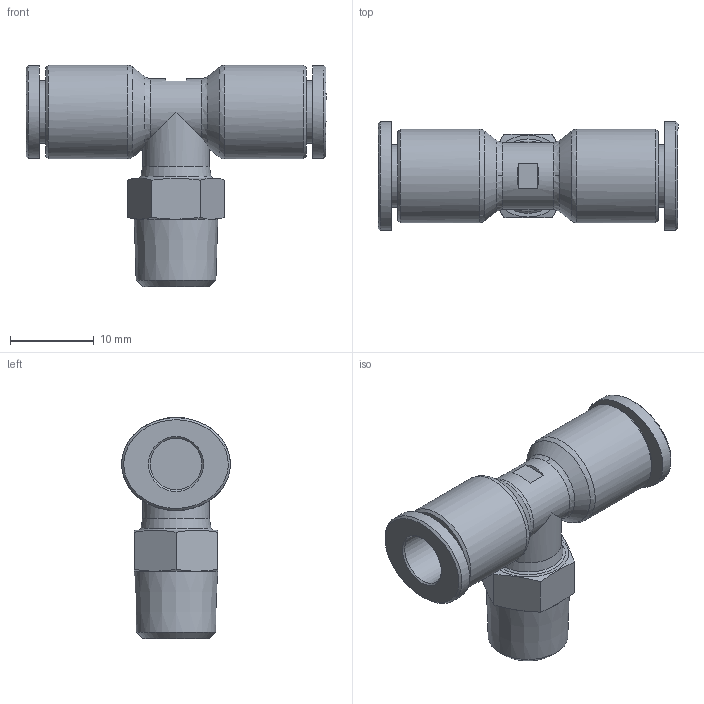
import cadquery as cq
import math


overall_length = 35.9
overall_height = 26.5

sleeve_radius = 5.6
sleeve_end_x = 15.6
sleeve_end_chamfer = 0.3
neck_radius = 4.0
cone_neck_x = 3.44
cone_sleeve_x = 5.43
cone_fillet = 1.0

flange_width = 13.0
flange_height = 11.1
flange_thickness = 1.6
flange_chamfer = 0.25
stem_radius = 3.75
bore_radius = 3.1
bore_depth = 12.0
bore_chamfer = 0.2

pocket_depth = 0.3
pocket_floor_length = 2.3
pocket_mouth_length = 2.5

stub_radius = neck_radius
stub_bottom_z = -6.5
skirt_radius = 4.2
skirt_bottom_z = -7.68
skirt_foot_radius = 4.45
hex_across_flats = 10.0
hex_top_z = -7.9
hex_bottom_z = -12.85
hex_chamfer_radius = 4.9
hex_corner_drop = 0.25
thread_top_radius = 5.0
thread_taper = 1 / 16
thread_tip_radius = 3.95
thread_chamfer_height = 0.8

collar_face_x = overall_length / 2
flange_back_x = collar_face_x - flange_thickness
branch_bottom_z = sleeve_radius - overall_height
thread_chamfer_z = branch_bottom_z + thread_chamfer_height
thread_bottom_radius = thread_top_radius - (hex_bottom_z - thread_chamfer_z) * thread_taper / 2
hex_corner_radius = hex_across_flats / 2 / math.cos(math.pi / 6)


def revolve_about_z(points):
    """Revolve an outline of (radius, z) points about the branch axis."""
    return cq.Workplane("XZ").polyline(points).close().revolve(360, (0, 0), (0, 1))


def make_run():
    """Neck, rounded cones and sleeves as one turned body about X."""
    half_outline = [
        (cone_neck_x, neck_radius),
        (cone_sleeve_x, sleeve_radius),
        (sleeve_end_x - sleeve_end_chamfer, sleeve_radius),
        (sleeve_end_x, sleeve_radius - sleeve_end_chamfer),
        (sleeve_end_x, 0),
    ]
    mirrored = [(-x, r) for x, r in reversed(half_outline)]
    outline = cq.Workplane("XZ").polyline(mirrored + half_outline).close()
    run = outline.revolve(360, (0, 0), (1, 0))
    cone_limit = cone_sleeve_x + cone_fillet
    middle = cq.selectors.BoxSelector(
        (-cone_limit, -sleeve_radius, -sleeve_radius),
        (cone_limit, sleeve_radius, sleeve_radius),
    )
    return run.edges("%CIRCLE").edges(middle).fillet(cone_fillet)


def make_collar():
    """Release collar at the +X end, still without its bore."""
    flange = (
        cq.Workplane("YZ", origin=(flange_back_x, 0, 0))
        .ellipse(flange_width / 2, flange_height / 2)
        .extrude(flange_thickness)
        .faces(">X")
        .chamfer(flange_chamfer)
    )
    stem_length = flange_back_x - cone_sleeve_x
    stem = cq.Workplane("YZ", origin=(cone_sleeve_x, 0, 0)).circle(stem_radius).extrude(stem_length)
    return flange.union(stem)


def make_bore():
    """Blind tube bore with a chamfered mouth, cut from the +X end."""
    floor_x = collar_face_x - bore_depth
    outline = [
        (floor_x, 0),
        (floor_x, bore_radius),
        (collar_face_x - bore_chamfer, bore_radius),
        (collar_face_x, bore_radius + bore_chamfer),
        (collar_face_x, 0),
    ]
    return cq.Workplane("XZ").polyline(outline).close().revolve(360, (0, 0), (1, 0))


def make_pocket():
    """Flared slot across the neck that leaves a small flat on top."""
    floor_z = neck_radius - pocket_depth
    outline = [
        (-pocket_floor_length / 2, floor_z),
        (pocket_floor_length / 2, floor_z),
        (pocket_mouth_length / 2, neck_radius),
        (-pocket_mouth_length / 2, neck_radius),
    ]
    return cq.Workplane("XZ").polyline(outline).close().extrude(neck_radius, both=True)


def make_stub():
    """Stub meeting the run in a mitre, with the flared skirt below it."""
    return revolve_about_z([
        (0, 0),
        (stub_radius, 0),
        (stub_radius, stub_bottom_z),
        (skirt_radius, skirt_bottom_z),
        (skirt_foot_radius, hex_top_z),
        (0, hex_top_z),
    ])


def make_hexagon():
    """Hexagon with corners on X and both ends turned to a shallow cone."""
    prism = (
        cq.Workplane("XY", origin=(0, 0, hex_bottom_z))
        .polygon(6, 2 * hex_corner_radius)
        .extrude(hex_top_z - hex_bottom_z)
    )
    turned_envelope = revolve_about_z([
        (0, hex_top_z),
        (hex_chamfer_radius, hex_top_z),
        (hex_corner_radius, hex_top_z - hex_corner_drop),
        (hex_corner_radius, hex_bottom_z + hex_corner_drop),
        (hex_chamfer_radius, hex_bottom_z),
        (0, hex_bottom_z),
    ])
    return prism.intersect(turned_envelope)


def make_thread():
    """Plain tapered body of the pipe thread with a chamfered tip."""
    return revolve_about_z([
        (0, hex_bottom_z),
        (thread_top_radius, hex_bottom_z),
        (thread_bottom_radius, thread_chamfer_z),
        (thread_tip_radius, branch_bottom_z),
        (0, branch_bottom_z),
    ])


body = make_run().union(make_stub()).union(make_hexagon()).union(make_thread())
body = body.cut(make_pocket())

collar = make_collar()
bore = make_bore()
for turn in (0, 180):
    body = body.union(collar.rotate((0, 0, 0), (0, 0, 1), turn))
    body = body.cut(bore.rotate((0, 0, 0), (0, 0, 1), turn))

result = body